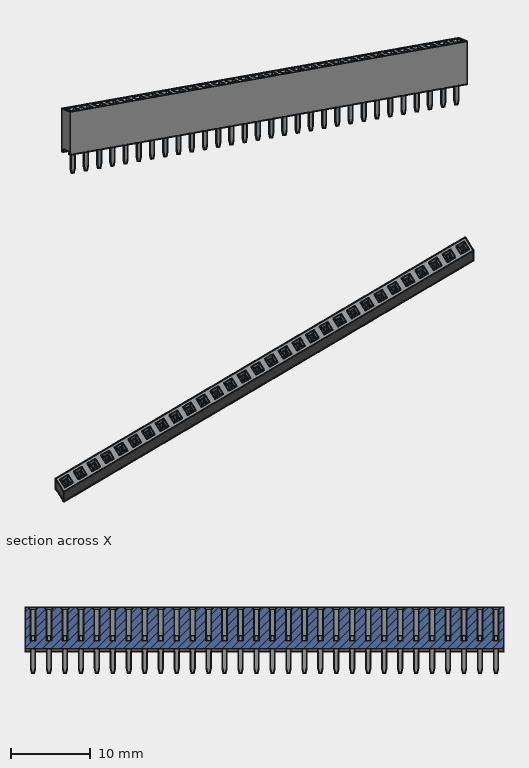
import cadquery as cq

length = 60.0
pin_count = 30
pitch = length / pin_count
width = pitch

housing_height = 5.6
rail_height = 0.35
rail_width = 0.35

mouth_size = 1.2
hole_size = 0.6
funnel_depth = (mouth_size - hole_size) / 2
hole_depth = 4.2

pin_drop = 2.7
pin_width = 0.6
pin_thickness = 0.2
tip_width = pin_width / 2
tip_height = 0.6
blade_width = 0.5
blade_rise = 0.6

rail_bottom = pin_drop
underside = rail_bottom + rail_height
housing_top = rail_bottom + housing_height
socket_floor = housing_top - hole_depth
blade_top = socket_floor + blade_rise

pin_positions = [(0, (i - (pin_count - 1) / 2) * pitch) for i in range(pin_count)]


def make_housing():
    """Long block with a channel along its underside, leaving a rail on each side."""
    base = cq.Workplane("XY").workplane(offset=rail_bottom)
    block = base.rect(width, length).extrude(housing_height)
    channel = base.rect(width - 2 * rail_width, length).extrude(rail_height)
    return block.cut(channel)


def make_socket():
    """Funnel and square blind hole, centred on the Z axis."""
    funnel = (
        cq.Workplane("XY")
        .workplane(offset=housing_top)
        .rect(mouth_size, mouth_size)
        .workplane(offset=-funnel_depth)
        .rect(hole_size, hole_size)
        .loft(ruled=True)
    )
    hole = (
        cq.Workplane("XY")
        .workplane(offset=socket_floor)
        .rect(hole_size, hole_size)
        .extrude(hole_depth - funnel_depth)
    )
    return funnel.union(hole).val()


def make_pin():
    """Flat pin: tapered tip, shank up to the housing, then the blade through the socket floor."""
    right_side = [
        (tip_width / 2, 0),
        (pin_width / 2, tip_height),
        (pin_width / 2, underside),
        (blade_width / 2, underside),
        (blade_width / 2, blade_top),
    ]
    left_side = [(-y, z) for y, z in reversed(right_side)]
    outline = cq.Workplane("YZ").polyline(right_side + left_side).close()
    return outline.extrude(pin_thickness / 2, both=True).val()


def at_every_pin(shape):
    """Copies of a shape at all pin positions."""
    return cq.Workplane("XY").pushPoints(pin_positions).eachpoint(lambda place: shape.moved(place))


sockets = at_every_pin(make_socket())
pins = at_every_pin(make_pin())
result = make_housing().cut(sockets).union(pins)